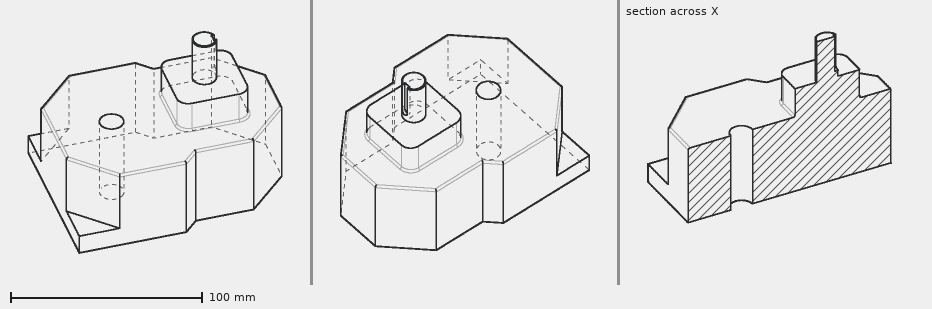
import cadquery as cq

length = 120.6
front_width = 88.9
rear_width = 73.6
corner_cut = 22.2
rear_corner_cut = 22.6
shoulder_start = 58.8
plate_height = 11.2
housing_height = 46.7
top_edge = 1.2

block_size = 38.6
block_corner_radius = 6.4
block_top = 64.3
block_foot_fillet = 1.2

bore_diameter = 12.8
shaft_diameter = bore_diameter
shaft_top = 89.6
shaft_y = 82.6
shaft_edge = 0.5
key_width = 3.9
key_depth = 1.9
key_length = 21.7

bore_y = 31.7

front_half = front_width / 2
rear_half = rear_width / 2
shoulder_end = shoulder_start + front_half - rear_half


def make_housing():
    """Eight-sided front and rear sections with a rounded top edge and bottom plate."""
    right_side = [
        (front_half - corner_cut, 0),
        (front_half, corner_cut),
        (front_half, shoulder_start),
        (rear_half, shoulder_end),
        (rear_half, length - rear_corner_cut),
        (rear_half - rear_corner_cut, length),
    ]
    left_side = [(-x, y) for x, y in reversed(right_side)]
    body = cq.Workplane("XY").polyline(right_side + left_side).close().extrude(housing_height)
    body = body.faces(">Z").edges().fillet(top_edge)
    plate = cq.Workplane("XY").box(front_width, shoulder_start, plate_height, centered=(True, False, False))
    return body.union(plate)


def add_block(housing):
    """Rounded square block, blended into the housing top around its foot."""
    block = (
        cq.Workplane("XY", origin=(0, shaft_y, housing_height))
        .rect(block_size, block_size)
        .extrude(block_top - housing_height)
        .edges("|Z")
        .fillet(block_corner_radius)
    )
    reach = block_size / 2 + top_edge
    half_slice = top_edge / 2
    foot = cq.selectors.BoxSelector(
        (-reach, shaft_y - reach, housing_height - half_slice),
        (reach, shaft_y + reach, housing_height + half_slice),
        boundingbox=True,
    )
    return housing.union(block).edges(foot).fillet(block_foot_fillet)


def make_shaft():
    """Shaft with a chamfered end and a keyway open at that end."""
    shaft = (
        cq.Workplane("XY", origin=(0, shaft_y, block_top))
        .circle(shaft_diameter / 2)
        .extrude(shaft_top - block_top)
        .faces(">Z")
        .chamfer(shaft_edge)
    )
    key_radius = key_width / 2
    key_bottom = shaft_top - key_length
    key_floor_y = shaft_y + shaft_diameter / 2 - key_depth
    keyway = (
        cq.Workplane("XZ", origin=(0, key_floor_y, 0))
        .moveTo(-key_radius, shaft_top)
        .lineTo(-key_radius, key_bottom + key_radius)
        .threePointArc((0, key_bottom), (key_radius, key_bottom + key_radius))
        .lineTo(key_radius, shaft_top)
        .close()
        .extrude(-shaft_diameter)
    )
    return shaft.cut(keyway)


bore = cq.Workplane("XY", origin=(0, bore_y, 0)).circle(bore_diameter / 2).extrude(housing_height)

result = add_block(make_housing()).union(make_shaft()).cut(bore)